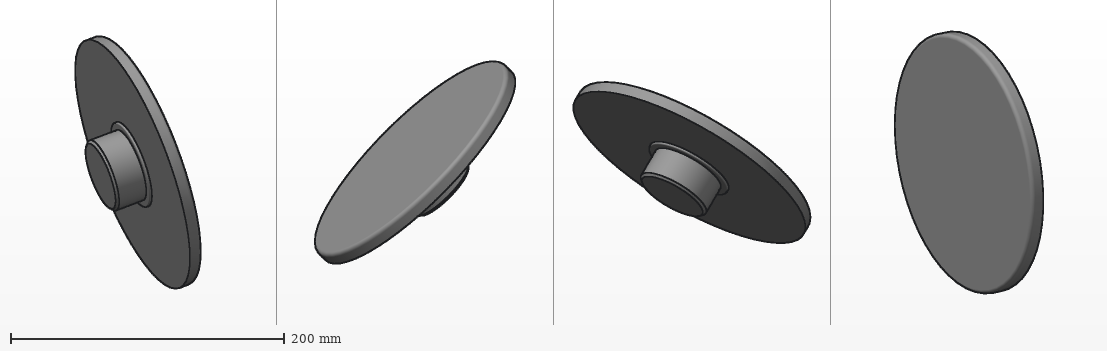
import cadquery as cq

plate_diameter = 194.0
plate_thickness = 10.0
plate_rim_fillet = 3.0

collar_diameter = 66.0
collar_thickness = 2.0
collar_fillet = 1.0

boss_diameter = 55.0
boss_chamfer = 2.0

overall_depth = 36.0
boss_height = overall_depth - plate_thickness


def disc(diameter, start_y, length):
    """Cylinder along Y that starts at start_y and runs toward -Y."""
    return cq.Workplane("XZ", origin=(0, start_y, 0)).circle(diameter / 2).extrude(length)


def make_plate():
    """Round plate with its front face at Y = 0 and a rounded rear rim."""
    return disc(plate_diameter, plate_thickness, plate_thickness).edges(">Y").fillet(plate_rim_fillet)


def make_collar():
    """Thin ring step around the foot of the boss, rounded at the front."""
    return disc(collar_diameter, 0, collar_thickness).edges("<Y").fillet(collar_fillet)


def make_boss():
    """Central cylinder with a chamfered front edge."""
    return disc(boss_diameter, 0, boss_height).edges("<Y").chamfer(boss_chamfer)


result = make_plate().union(make_collar()).union(make_boss())